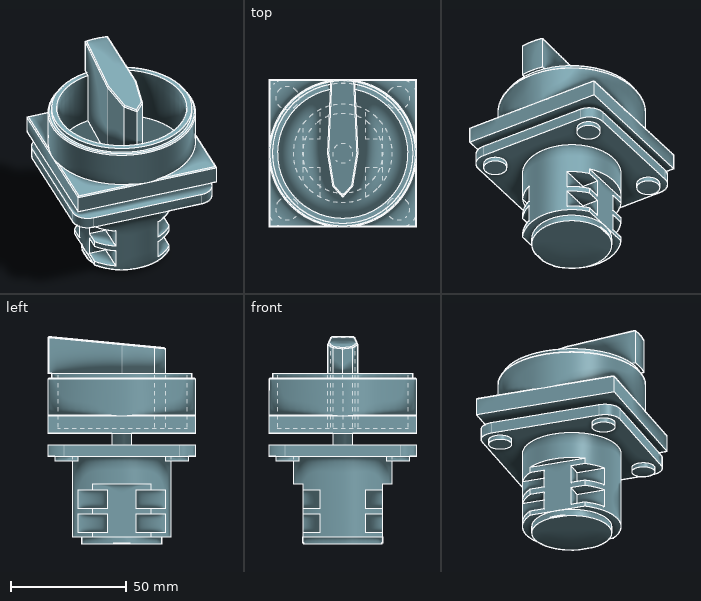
import cadquery as cq
import math

body_radius = 21.4
half_body_width = 17.25
foot_radius = 17.35
foot_height = 3.0
foot_flat_height = 0.5
half_foot_flat_width = 17.0
contact_height = 23.0
collar_height = 12.0

plate_size = 64.0
mount_thickness = 5.0
mount_corner_radius = 7.0
boss_radius = 5.0
boss_offset = 24.0
boss_height = 2.0
shaft_radius = 4.3
shaft_gap = 5.0

bezel_thickness = 8.0
cup_height = 16.0
rim_height = 2.0
rim_radius = 30.4
cavity_radius = 28.2
cavity_depth = 24.0
edge_chamfer = 0.5

lever_height = 16.0
lever_slope = 5.5
lever_mid_half_width = 6.6
lever_back_half_width = 5.2
lever_front_half_width = 4.3
lever_shoulder_y = -14.25
lever_tip_y = -19.0

pocket_height = 8.0
pocket_x = 9.8
pocket_y = 6.25
pocket_levels = (5.0, 15.5)

contact_z = foot_height
collar_z = contact_z + contact_height
mount_z = collar_z + collar_height
shaft_z = mount_z + mount_thickness
bezel_z = shaft_z + shaft_gap
cup_z = bezel_z + bezel_thickness
rim_z = cup_z + cup_height
rim_top_z = rim_z + rim_height
floor_z = rim_top_z - cavity_depth
lever_top_z = rim_top_z + lever_height

half_plate = plate_size / 2
corner_signs = [(sx, sy) for sx in (-1, 1) for sy in (-1, 1)]


def cylinder(radius, bottom_z, height):
    return cq.Workplane("XY").workplane(offset=bottom_z).circle(radius).extrude(height)


def square_plate(bottom_z, thickness):
    return cq.Workplane("XY").workplane(offset=bottom_z).rect(plate_size, plate_size).extrude(thickness)


def corner_pocket(sign_x, sign_y, bottom_z):
    """Block that opens one corner of the contact block toward X and Y."""
    centre_x = sign_x * (pocket_x + body_radius / 2)
    centre_y = sign_y * (pocket_y + body_radius / 2)
    return (
        cq.Workplane("XY")
        .box(body_radius, body_radius, pocket_height, centered=(True, True, False))
        .translate((centre_x, centre_y, bottom_z))
    )


def make_body():
    foot = cylinder(foot_radius, 0, foot_height)
    foot_flats = cylinder(foot_radius, 0, foot_flat_height).cut(
        cq.Workplane("XY").rect(2 * half_foot_flat_width, 2 * foot_radius).extrude(foot_flat_height)
    )
    foot = foot.cut(foot_flats)
    contact_block = cylinder(body_radius, contact_z, contact_height).intersect(
        cq.Workplane("XY")
        .workplane(offset=contact_z)
        .rect(2 * half_body_width, 2 * body_radius)
        .extrude(contact_height)
    )
    for floor in pocket_levels:
        for sign_x, sign_y in corner_signs:
            contact_block = contact_block.cut(corner_pocket(sign_x, sign_y, floor))
    collar = cylinder(body_radius, collar_z, collar_height)
    return foot.union(contact_block).union(collar)


def make_mount():
    mount = square_plate(mount_z, mount_thickness).edges("|Z").fillet(mount_corner_radius)
    for sign_x, sign_y in corner_signs:
        boss = cylinder(boss_radius, mount_z - boss_height, boss_height)
        mount = mount.union(boss.translate((sign_x * boss_offset, sign_y * boss_offset, 0)))
    return mount


def make_bezel():
    bezel = square_plate(bezel_z, bezel_thickness).faces(">Z").chamfer(edge_chamfer)
    cup = cylinder(half_plate, bezel_z + bezel_thickness / 2, bezel_thickness / 2 + cup_height)
    cup = cup.faces(">Z").chamfer(edge_chamfer)
    rim = cylinder(rim_radius, rim_z, rim_height)
    cavity = cylinder(cavity_radius, floor_z, cavity_depth)
    return bezel.union(cup).union(rim).cut(cavity)


def make_lever():
    """Pointed handle with a sloped top; it overhangs the rim at its back end."""
    back_corner_y = math.sqrt(half_plate**2 - lever_back_half_width**2)
    lever = (
        cq.Workplane("XY")
        .workplane(offset=floor_z)
        .moveTo(0, lever_tip_y)
        .lineTo(lever_front_half_width, lever_shoulder_y)
        .lineTo(lever_mid_half_width, 0)
        .lineTo(lever_back_half_width, back_corner_y)
        .threePointArc((0, half_plate), (-lever_back_half_width, back_corner_y))
        .lineTo(-lever_mid_half_width, 0)
        .lineTo(-lever_front_half_width, lever_shoulder_y)
        .close()
        .extrude(lever_top_z - floor_z)
    )
    slope_drop = plate_size * math.tan(math.radians(lever_slope))
    above_slope = (
        cq.Workplane("YZ")
        .moveTo(half_plate, lever_top_z)
        .lineTo(-half_plate, lever_top_z)
        .lineTo(-half_plate, lever_top_z - slope_drop)
        .close()
        .extrude(half_plate, both=True)
    )
    lever = lever.cut(above_slope).faces(">Z").chamfer(edge_chamfer)
    below_overhang = cylinder(plate_size, floor_z, cavity_depth).cut(
        cylinder(cavity_radius, floor_z, cavity_depth)
    )
    return lever.cut(below_overhang)


shaft = cylinder(shaft_radius, shaft_z, shaft_gap)
result = make_body().union(make_mount()).union(shaft).union(make_bezel()).union(make_lever())